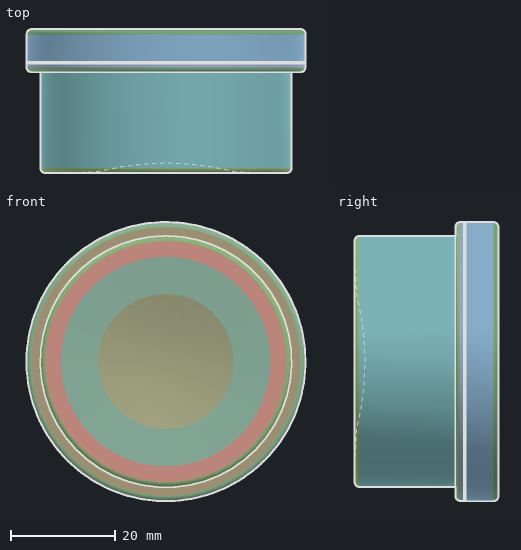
import cadquery as cq

outer_radius = 26.85
edge_round = 1.0

cap_thickness = 6.4
cap_gap = 0.2

flange_thickness = 1.7
barrel_radius = 24.2
barrel_length = 19.4
dish_radius = 20.15
dish_depth = 0.4
dimple_radius = 13.0
dimple_depth = 1.6

flange_front = barrel_length
flange_back = flange_front + flange_thickness
cap_back = flange_back + cap_gap + cap_thickness
dimple_floor = dish_depth + dimple_depth


def make_plug():
    """Flanged barrel whose front face has a shallow conical dish around a round-bottomed dimple."""
    dimple_sphere_radius = (dimple_radius**2 + dimple_depth**2) / (2 * dimple_depth)
    half_section = (
        cq.Workplane("YZ")
        .moveTo(dimple_floor, 0)
        .lineTo(flange_back, 0)
        .lineTo(flange_back, outer_radius)
        .lineTo(flange_front + edge_round, outer_radius)
        .radiusArc((flange_front, outer_radius - edge_round), -edge_round)
        .lineTo(flange_front, barrel_radius)
        .lineTo(edge_round, barrel_radius)
        .radiusArc((0, barrel_radius - edge_round), -edge_round)
        .lineTo(0, dish_radius)
        .lineTo(dish_depth, dimple_radius)
        .radiusArc((dimple_floor, 0), dimple_sphere_radius)
        .close()
    )
    return half_section.revolve(360, (0, 0, 0), (1, 0, 0))


def make_cap():
    """Plain disc just behind the flange, rounded around its back edge."""
    disc = cq.Workplane("XZ", origin=(0, cap_back, 0)).circle(outer_radius).extrude(cap_thickness)
    return disc.faces(">Y").edges().fillet(edge_round)


plug = make_plug()
cap = make_cap()
result = cq.Compound.makeCompound([plug.val(), cap.val()])